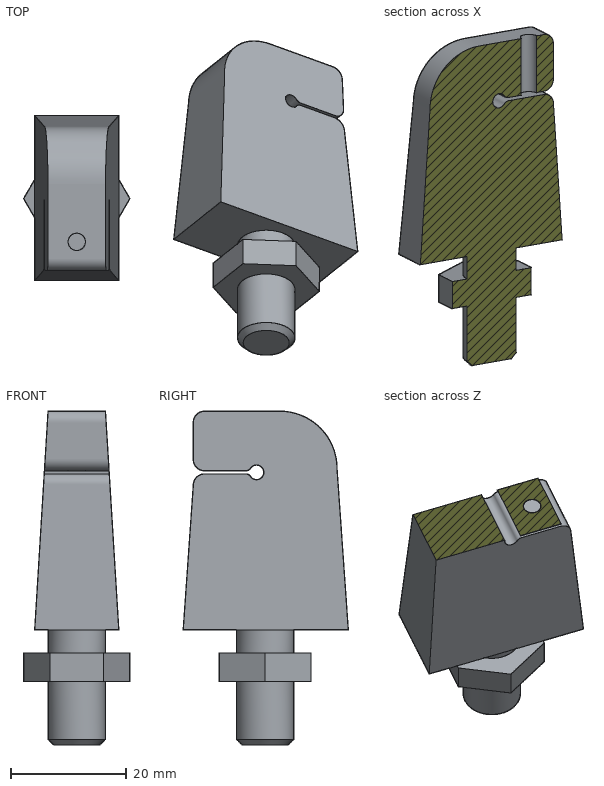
import cadquery as cq
import math

stud_diameter = 10.0
stud_length = 20.0
stud_chamfer = 1.0

nut_across_flats = 16.0
nut_thickness = 5.0
nut_bottom_z = 11.0

body_height = 38.0
top_width = 10.0
head_depth = 25.0
width_draft = 3.5
depth_draft = 4.0
back_radius = 10.0
lip_radius = 2.0

slit_bottom_height = 27.1
slit_gap = 0.5
relief_diameter = 2.5
relief_center_y = -1.5
relief_blend_radius = 1.0

screw_hole_diameter = 3.0
screw_hole_edge_distance = 5.0

body_bottom_z = stud_length
body_top_z = body_bottom_z + body_height
slit_bottom_z = body_bottom_z + slit_bottom_height
slit_top_z = slit_bottom_z + slit_gap
slit_z = slit_bottom_z + slit_gap / 2
back_y = head_depth / 2
front_y = -head_depth / 2
screw_hole_y = front_y + screw_hole_edge_distance

arc_middle = 1 - math.sqrt(0.5)


def spread(height, draft):
    """Distance a drafted face moves outward while dropping by the given height."""
    return height * math.tan(math.radians(draft))


base_width = top_width + 2 * spread(body_height, width_draft)


def make_stud():
    stud = cq.Workplane("XY").circle(stud_diameter / 2).extrude(stud_length)
    return stud.faces("<Z").chamfer(stud_chamfer)


def make_nut():
    across_corners = nut_across_flats / math.cos(math.radians(30))
    return (
        cq.Workplane("XY")
        .workplane(offset=nut_bottom_z)
        .polygon(6, across_corners)
        .extrude(nut_thickness)
    )


def make_profile():
    """Side outline of the body with the slit open to the front.

    The back and front drafts start where the rounded head and jaw corners end.
    """
    back_draft_z = body_top_z - back_radius
    front_draft_z = slit_bottom_z - lip_radius
    base_back_y = back_y + spread(back_draft_z - body_bottom_z, depth_draft)
    base_front_y = front_y - spread(front_draft_z - body_bottom_z, depth_draft)
    mouth_y = front_y + lip_radius
    lip_bend = lip_radius * arc_middle
    back_bend = back_radius * arc_middle
    return (
        cq.Workplane("YZ")
        .moveTo(base_front_y, body_bottom_z)
        .lineTo(base_back_y, body_bottom_z)
        .lineTo(back_y, back_draft_z)
        .threePointArc(
            (back_y - back_bend, body_top_z - back_bend),
            (back_y - back_radius, body_top_z),
        )
        .lineTo(mouth_y, body_top_z)
        .threePointArc(
            (front_y + lip_bend, body_top_z - lip_bend),
            (front_y, body_top_z - lip_radius),
        )
        .lineTo(front_y, slit_top_z + lip_radius)
        .threePointArc(
            (front_y + lip_bend, slit_top_z + lip_bend),
            (mouth_y, slit_top_z),
        )
        .lineTo(relief_center_y, slit_top_z)
        .lineTo(relief_center_y, slit_bottom_z)
        .lineTo(mouth_y, slit_bottom_z)
        .threePointArc(
            (front_y + lip_bend, slit_bottom_z - lip_bend),
            (front_y, front_draft_z),
        )
        .close()
        .extrude(base_width / 2, both=True)
    )


def cut_relief(body):
    """Cut the relief hole at the slit end and blend it into the slit."""
    relief = (
        cq.Workplane("YZ")
        .center(relief_center_y, slit_z)
        .circle(relief_diameter / 2)
        .extrude(base_width / 2, both=True)
    )
    throat = cq.selectors.BoxSelector(
        (-base_width, relief_center_y - relief_diameter, slit_z - slit_gap),
        (base_width, relief_center_y, slit_z + slit_gap),
    )
    return body.cut(relief).edges("|X").edges(throat).fillet(relief_blend_radius)


def make_taper():
    """Outline across the width, narrowing evenly toward the top."""
    return (
        cq.Workplane("XZ")
        .moveTo(-base_width / 2, body_bottom_z)
        .lineTo(base_width / 2, body_bottom_z)
        .lineTo(top_width / 2, body_top_z)
        .lineTo(-top_width / 2, body_top_z)
        .close()
        .extrude(head_depth, both=True)
    )


def make_screw_hole():
    return (
        cq.Workplane("XY")
        .workplane(offset=slit_z)
        .center(0, screw_hole_y)
        .circle(screw_hole_diameter / 2)
        .extrude(body_top_z - slit_z)
    )


def make_body():
    block = cut_relief(make_profile())
    return block.intersect(make_taper()).cut(make_screw_hole())


result = make_body().union(make_stud()).union(make_nut())